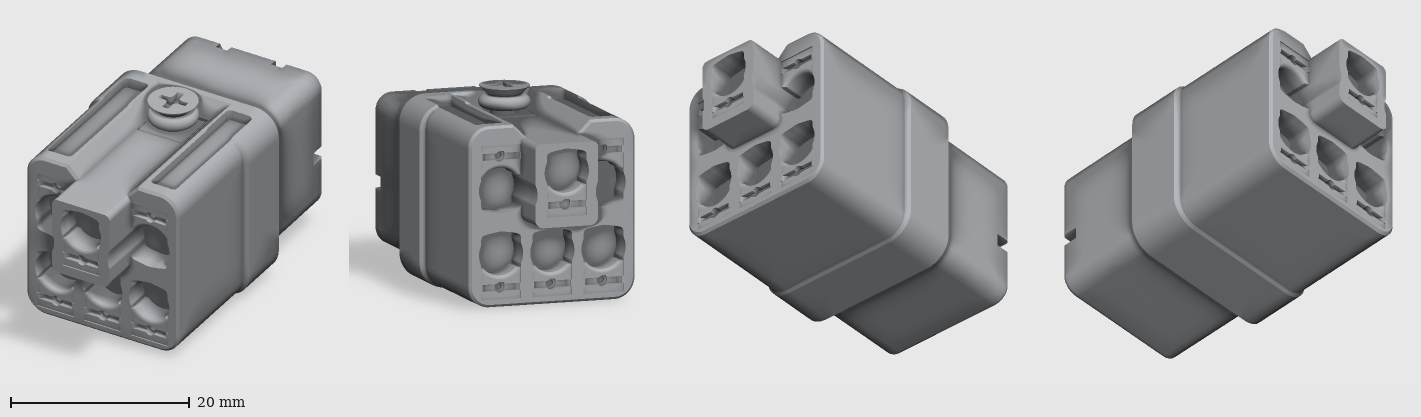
import cadquery as cq
import math


total_length = 38.2
tail_length = 4.7
collar_lead_length = 0.45
collar_rear = 25.82 - tail_length
collar_size = 21.0
collar_corner = 3.05
body_width = 19.83
body_height = 20.63
body_corner = 2.45
body_bevel = 0.3
plug_width = 18.03
plug_height = 17.4
plug_corner = 2.02
plug_edge_round = 0.5
plug_draft = 0.2
rear_face = total_length - tail_length
collar_step = 18.87 - tail_length
collar_front = collar_step + collar_lead_length

cavity_pitch = 6.1
lower_cavity_z = -4.35
upper_cavity_z = 3.0
tail_cavity_z = 5.5
cavity_radius = 2.65
cavity_half_width = 2.35
cavity_crown = 2.58
cavity_shoulder = 2.18
cavity_corner = 0.55
lip_round = 0.75
cavity_depth = 3.05

retainer_top = 1.6
retainer_end = 5.08
retainer_bore = 2.45
retainer_funnel = 0.45
retainer_recess = 0.15
groove_near = 3.35
groove_far = 4.15
groove_mouth = 2.2
groove_bottom = 1.75
groove_depth = 0.7
release_hole_radius = 0.65
release_hole_depth = 0.9
release_pilot_radius = 0.42
release_pilot_depth = 1.3

tail_half_width = cavity_pitch - cavity_half_width
tail_top = 8.8
tail_bottom = -0.75
tail_top_round = 0.7
tail_bottom_round = 0.95

channel_half_width = 3.05
channel_rear = 18.6

pocket_half_width = 2.95
pocket_front = 12.6
pocket_rear = 18.45
pocket_depth = 0.75
plate_gap = 0.08
plate_bevel = 0.55
plate_round = 0.7
screw_y = 15.62
screw_top = 12.0
head_radius = 2.85
head_rim = 0.1
neck_radius = 1.85
washer_radius = 2.95
washer_top = 10.9
washer_bottom = 9.35
shank_radius = 1.585
shank_end = 7.85
drive_span = 3.55
drive_end_span = 2.65
drive_x_width = 0.7
drive_y_width = 0.85
drive_arm_depth = 0.85
drive_point_depth = 0.45
drive_corner = 0.5

label_x = 6.742
label_width = 3.25
label_front = 1.7
label_rear = 19.18
label_corner = 0.57
label_floor = 9.3
label_draft = 5.0

top_notch_inner = 2.83
top_notch_root = 3.17
top_notch_outer = 4.35
top_notch_length = 1.2
top_notch_depth = 2.1
side_notch_width = 1.55
side_notch_length = 2.15
side_notch_depth = 2.67
side_notch_z = -1.45


def section(y):
    """Workplane across the insert at y, with local x along X and local y along Z."""
    return cq.Workplane("XZ", origin=(0, y, 0))


def prism(outline, length):
    """Extrude a section outline toward +Y."""
    return outline.extrude(-length)


def box(x_range, y_range, z_range):
    sizes = [high - low for low, high in (x_range, y_range, z_range)]
    corner = (x_range[0], y_range[0], z_range[0])
    return cq.Workplane("XY").box(*sizes, centered=False).translate(corner)


def rounded_block(width, height, corner, front, rear):
    block = prism(section(front).rect(width, height), rear - front)
    return block.edges("|Y").fillet(corner)


def make_channel():
    """Cutter for the channel: flat floor, flanks and rear end rising outward at 45 degrees."""
    rise = collar_size / 2 - tail_top
    top_half_width = channel_half_width + rise
    floor_end = (channel_half_width, tail_top)
    top_end = (top_half_width, tail_top + rise)
    across = section(0).polyline([(-x, z) for x, z in (floor_end, top_end)] + [top_end, floor_end])
    flanks = prism(across.close(), channel_rear + rise)
    along = cq.Workplane("YZ").polyline(
        [
            (0, tail_top),
            (channel_rear, tail_top),
            (channel_rear + rise, tail_top + rise),
            (0, tail_top + rise),
        ]
    )
    return flanks.intersect(along.close().extrude(top_half_width, both=True))


def make_collar_lead():
    """Sloped band that widens from the body outline to the collar outline."""
    small = cq.Sketch().rect(body_width, body_height).vertices().fillet(body_corner)
    large = cq.Sketch().rect(collar_size, collar_size).vertices().fillet(collar_corner)
    large = large.moved(cq.Location(cq.Vector(0, 0, -collar_lead_length)))
    return section(collar_step).placeSketch(small, large).loft()


def make_housing():
    body = rounded_block(body_width, body_height, body_corner, 0, collar_rear)
    channel = make_channel()
    body = body.cut(channel).faces("<Y").chamfer(body_bevel)
    collar = rounded_block(collar_size, collar_size, collar_corner, collar_front, collar_rear)
    collar = collar.union(make_collar_lead()).cut(channel)
    plug_outline = cq.Sketch().rect(plug_width, plug_height).vertices().fillet(plug_corner)
    plug = section(collar_rear).placeSketch(plug_outline)
    plug = plug.extrude(collar_rear - rear_face, taper=plug_draft)
    plug = plug.faces(">Y").edges().fillet(plug_edge_round)
    return body.union(collar).union(plug)


def make_tail():
    """Block ahead of the housing, scalloped where the outer upper contacts slide in beside it."""
    middle_z = (tail_top + tail_bottom) / 2
    block = section(-tail_length).center(0, middle_z).rect(2 * tail_half_width, tail_top - tail_bottom)
    block = prism(block, tail_length + collar_step)
    block = block.edges("|Y and >Z").fillet(tail_top_round)
    block = block.edges("|Y and <Z").fillet(tail_bottom_round)
    centres = [(x, upper_cavity_z) for x in (-cavity_pitch, cavity_pitch)]
    scallops = section(-tail_length).pushPoints(centres)
    block = block.cut(prism(scallops.circle(cavity_radius), tail_length + collar_step))
    lip_zone = cq.selectors.BoxSelector(
        (-2 * tail_half_width, -2 * tail_length, upper_cavity_z - cavity_radius),
        (2 * tail_half_width, 2 * collar_step, upper_cavity_z + cavity_radius),
    )
    return block.edges("|Y").edges(lip_zone).fillet(lip_round)


def make_cavity(mouth, has_pilot):
    """Cutter for one contact cavity centred on the Y axis, with its retainer on the -Z side."""
    half = cavity_half_width
    crowned = (
        section(mouth)
        .moveTo(-half, -retainer_top)
        .lineTo(-half, cavity_shoulder)
        .threePointArc((0, cavity_crown), (half, cavity_shoulder))
        .lineTo(half, -retainer_top)
        .close()
    )
    crowned = prism(crowned, cavity_depth).edges("|Y").edges(">Z").fillet(cavity_corner)
    barrel = prism(section(mouth).circle(cavity_radius), cavity_depth)
    above_retainer = box(
        (-cavity_radius, cavity_radius),
        (mouth, mouth + cavity_depth),
        (-retainer_top, cavity_radius),
    )
    bore = prism(section(mouth).circle(retainer_bore), cavity_depth)
    chamber = crowned.union(barrel.intersect(above_retainer))
    lip_zone = cq.selectors.BoxSelector(
        (-cavity_radius, mouth, 0),
        (cavity_radius, mouth + cavity_depth, cavity_shoulder - cavity_corner),
    )
    chamber = chamber.edges("|Y").edges(lip_zone).fillet(lip_round)
    return chamber.union(bore).union(make_retainer(mouth, has_pilot))


def make_retainer(mouth, has_pilot):
    """Cutter for the retainer face: recessed panel, funnel, cross groove and release hole."""
    half = cavity_half_width
    face = mouth + retainer_recess
    upper_panel = box((-half, half), (mouth, face), (-groove_near, 0))
    lower_panel = box((-half, half), (mouth, face), (-retainer_end, -groove_far))
    rim = retainer_bore + retainer_funnel
    throat = face + retainer_funnel
    bulge = retainer_funnel * (1 - math.sqrt(0.5))
    funnel = (
        cq.Workplane("XY")
        .moveTo(0, face)
        .lineTo(rim, face)
        .threePointArc((retainer_bore + bulge, face + bulge), (retainer_bore, throat))
        .lineTo(0, throat)
        .close()
        .revolve(360, (0, 0), (0, 1))
    )
    funnel_limit = box((-half, half), (face, throat), (-groove_near, -retainer_top))
    groove_floor = mouth + groove_depth
    groove = (
        cq.Workplane("XY", origin=(0, 0, -groove_far))
        .moveTo(-groove_mouth, mouth)
        .lineTo(groove_mouth, mouth)
        .lineTo(groove_mouth, face)
        .lineTo(groove_bottom, groove_floor)
        .lineTo(-groove_bottom, groove_floor)
        .lineTo(-groove_mouth, face)
        .close()
        .extrude(groove_far - groove_near)
    )
    hole_z = -(groove_near + groove_far) / 2
    hole = prism(section(mouth).center(0, hole_z).circle(release_hole_radius), release_hole_depth)
    cutter = upper_panel.union(lower_panel).union(funnel_limit.intersect(funnel))
    cutter = cutter.union(groove).union(hole)
    if has_pilot:
        pilot = section(mouth).center(0, hole_z).circle(release_pilot_radius)
        cutter = cutter.union(prism(pilot, release_pilot_depth))
    return cutter


def make_cavities():
    housing_cavity = make_cavity(0, True)
    flipped_cavity = housing_cavity.rotate((0, 0, 0), (0, 1, 0), 180)
    cutter = make_cavity(-tail_length, False).translate((0, 0, tail_cavity_z))
    for x in (-cavity_pitch, 0, cavity_pitch):
        cutter = cutter.union(housing_cavity.translate((x, 0, lower_cavity_z)))
    for x in (-cavity_pitch, cavity_pitch):
        cutter = cutter.union(flipped_cavity.translate((x, 0, upper_cavity_z)))
    return cutter


def make_label_pockets():
    length = label_rear - label_front
    centres = [(x, label_front + length / 2) for x in (-label_x, label_x)]
    outline = cq.Sketch().rect(label_width, length).vertices().fillet(label_corner)
    pockets = cq.Workplane("XY", origin=(0, 0, collar_size / 2)).pushPoints(centres)
    return pockets.placeSketch(outline).extrude(label_floor - collar_size / 2, taper=label_draft)


def make_plate_pocket():
    """Cutter around the clamp plate, which has a rounded front edge and a bevelled rear edge."""
    length = (pocket_front, pocket_rear)
    height = (tail_top - pocket_depth, tail_top)
    plate_half_width = pocket_half_width - plate_gap
    pocket = box((-pocket_half_width, pocket_half_width), length, height)
    plate = box((-plate_half_width, plate_half_width), length, height)
    plate = plate.edges("|X and >Z and >Y").chamfer(plate_bevel)
    plate = plate.edges("|X and >Z and <Y").fillet(plate_round)
    return pocket.cut(plate)


def make_screw():
    """Countersunk screw with a round-edged washer and a cross recess."""
    washer_round = (washer_top - washer_bottom) / 2
    washer_flat = washer_radius - washer_round
    profile = (
        cq.Workplane("XZ")
        .moveTo(0, shank_end)
        .lineTo(shank_radius, shank_end)
        .lineTo(shank_radius, washer_bottom)
        .lineTo(washer_flat, washer_bottom)
        .threePointArc((washer_radius, washer_top - washer_round), (washer_flat, washer_top))
        .lineTo(neck_radius, washer_top)
        .lineTo(head_radius, screw_top - head_rim)
        .lineTo(head_radius, screw_top)
        .lineTo(0, screw_top)
        .close()
    )
    return profile.revolve(360, (0, 0), (0, 1)).cut(make_drive()).translate((0, screw_y, 0))


def make_drive():
    """Cross recess whose arm ends slope inward to a shallow conical floor."""
    arm_foot = screw_top - drive_arm_depth
    point = arm_foot - drive_point_depth
    floor = cq.Workplane("XY", origin=(0, 0, point))
    cross = floor.rect(drive_span, drive_x_width).extrude(screw_top - point)
    cross = cross.union(floor.rect(drive_y_width, drive_span).extrude(screw_top - point))
    inner_corners = cq.selectors.BoxSelector(
        (-drive_y_width, -drive_y_width, point), (drive_y_width, drive_y_width, screw_top)
    )
    cross = cross.edges("|Z").edges(inner_corners).fillet(drive_corner)
    foot = cq.Workplane("XY", origin=(0, 0, arm_foot)).rect(drive_end_span, drive_end_span)
    arms = foot.workplane(offset=drive_arm_depth).rect(drive_span, drive_span).loft()
    cone = cq.Solid.makeCone(0, drive_end_span / 2, drive_point_depth, cq.Vector(0, 0, point))
    taper = arms.union(cq.Workplane(cone))
    return cross.intersect(taper)


def make_notches():
    """Cutters for the rim notches: two sloped notches on top, a ramped notch on each side."""
    top = plug_height / 2
    top_notch = section(rear_face - top_notch_length).polyline(
        [
            (top_notch_inner, top),
            (top_notch_inner, top - top_notch_depth),
            (top_notch_root, top - top_notch_depth),
            (top_notch_outer, top - plug_edge_round),
            (top_notch_outer, top),
        ]
    )
    top_notch = prism(top_notch.close(), top_notch_length)
    side = plug_width / 2
    ramp = cq.Workplane("XY", origin=(0, 0, side_notch_z)).polyline(
        [
            (side, rear_face - side_notch_length),
            (side - side_notch_depth, rear_face),
            (side, rear_face),
        ]
    )
    ramp = ramp.close().extrude(side_notch_width / 2, both=True)
    notches = top_notch.union(ramp)
    return notches.union(notches.mirror("YZ"))


result = make_housing().union(make_tail())
result = result.cut(make_cavities())
result = result.cut(make_label_pockets()).cut(make_plate_pocket()).cut(make_notches())
result = result.union(make_screw())